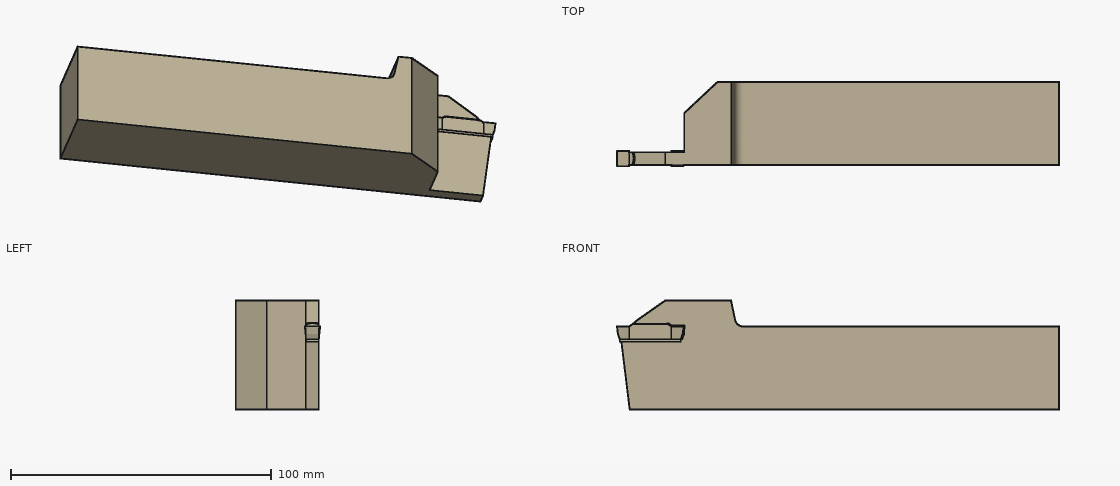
import cadquery as cq
import math


tool_length = 170.0
shank_width = 32.0
shank_height = 32.0
head_height = 42.0
blade_thickness = 5.0
head_start = 25.9
head_corner_x = 12.8
head_corner_y = 12.0
head_top_start = 18.6
head_top_end = 43.9
head_back_angle = 12.0
head_back_fillet = 3.2
clearance_angle = 7.0
blade_foot = 4.9
ramp_angle = 35.0
nose_top = 34.2
nose_angle = 48.0

insert_length = 25.7
end_length = 4.7
side_overhang = 0.49
side_relief_angle = 6.0
end_corner_radius = 0.4
keel_thickness = 4.9
front_land_height = 2.9
heel_height = 27.1
heel_inset = 1.05
keel_bottom = 26.1
crown_edge = 32.8
crown_rise = 0.4
seat_gap = 0.3
rear_gap = 0.4

blade_middle = blade_thickness / 2
front_land_inset = front_land_height * math.tan(math.radians(clearance_angle))


def side_extrusion(points, y_start, y_end):
    """Closed XZ outline extruded from y_start to y_end."""
    outline = cq.Workplane("XZ", origin=(0, y_start, 0)).polyline(points).close()
    return outline.extrude(y_start - y_end)


def mirrored(points):
    """Outline points reflected to the rear half of the insert, in reverse order."""
    return [(insert_length - x, z) for x, z in reversed(points)]


def crowned_block(gap_above, gap_behind):
    """Insert body above the heels with a ramped, crowned top; the gaps enlarge it into the pocket."""
    land = shank_height + gap_above
    edge = crown_edge + gap_above
    peak = edge + crown_rise
    ramp_run = (peak - land) / math.tan(math.radians(ramp_angle))
    front_half = [
        (heel_inset, heel_height),
        (front_land_inset, shank_height - front_land_height),
        (0, land),
        (end_length, land),
        (end_length + ramp_run, peak),
    ]
    rear_half = mirrored(front_half)
    rear_end = [(x + gap_behind, z) for x, z in rear_half[2:]]
    block = side_extrusion(front_half + rear_half[:2] + rear_end, 0, blade_thickness)
    crown = (
        cq.Workplane("YZ")
        .moveTo(0, heel_height)
        .lineTo(0, edge)
        .threePointArc((blade_middle, peak), (blade_thickness, edge))
        .lineTo(blade_thickness, heel_height)
        .close()
        .extrude(insert_length + gap_behind)
    )
    return block.intersect(crown)


def keel(thickness):
    """Locating strip below the heels, centred in the blade."""
    length = insert_length - 2 * heel_inset
    height = heel_height - keel_bottom
    corner = (heel_inset, blade_middle - thickness / 2, keel_bottom)
    return cq.Workplane("XY").box(length, thickness, height, centered=False).translate(corner)


def cutting_end():
    """Front cutting end: relieved sides, rounded corners and a front in two slopes."""
    half_width = blade_middle + side_overhang
    height = shank_height - heel_height
    relief = height * math.tan(math.radians(side_relief_angle))
    heel_half_width = half_width - relief
    sides = (
        cq.Workplane("YZ")
        .polyline([
            (blade_middle - half_width, shank_height),
            (blade_middle + half_width, shank_height),
            (blade_middle + heel_half_width, heel_height),
            (blade_middle - heel_half_width, heel_height),
        ])
        .close()
        .extrude(end_length)
    )
    front = side_extrusion(
        [
            (0, shank_height),
            (front_land_inset, shank_height - front_land_height),
            (heel_inset, heel_height),
            (end_length, heel_height),
            (end_length, shank_height),
        ],
        blade_middle - half_width,
        blade_middle + half_width,
    )
    end = sides.intersect(front)
    return end.faces("<X").edges("not |Y").fillet(end_corner_radius)


def make_insert():
    """Double-ended insert: crowned body, keel and two mirrored cutting ends."""
    front_end = cutting_end()
    rear_end = front_end.mirror("YZ").translate((insert_length, 0, 0))
    body = crowned_block(0, 0).union(keel(keel_thickness))
    return body.union(front_end).union(rear_end)


def make_holder(insert):
    """Shank and head with a thin front blade, and a pocket for the insert."""
    head_back_foot = head_top_end + (head_height - shank_height) * math.tan(math.radians(head_back_angle))
    nose_x = head_top_start - (head_height - nose_top) / math.tan(math.radians(ramp_angle))
    nose_drop = nose_top - shank_height
    nose_tip_x = nose_x - nose_drop / math.tan(math.radians(nose_angle))
    front_top_x = blade_foot - shank_height * math.tan(math.radians(clearance_angle))
    holder = side_extrusion(
        [
            (blade_foot, 0),
            (tool_length, 0),
            (tool_length, shank_height),
            (head_back_foot, shank_height),
            (head_top_end, head_height),
            (head_top_start, head_height),
            (nose_x, nose_top),
            (nose_tip_x, shank_height),
            (front_top_x, shank_height),
        ],
        0,
        shank_width,
    )
    head_back_corner = cq.selectors.NearestToPointSelector((head_back_foot, shank_width / 2, shank_height))
    holder = holder.edges("|Y").edges(head_back_corner).fillet(head_back_fillet)

    behind_blade = (
        cq.Workplane("XY")
        .polyline([
            (-head_start, blade_thickness),
            (head_start, blade_thickness),
            (head_start, shank_width - head_corner_y),
            (head_start + head_corner_x, shank_width),
            (-head_start, shank_width),
        ])
        .close()
        .extrude(head_height)
    )
    pocket = crowned_block(seat_gap, rear_gap).union(keel(blade_thickness))
    return holder.cut(behind_blade).cut(pocket).cut(insert)


insert = make_insert()
holder = make_holder(insert)
result = cq.Compound.makeCompound([*holder.solids().vals(), *insert.solids().vals()])